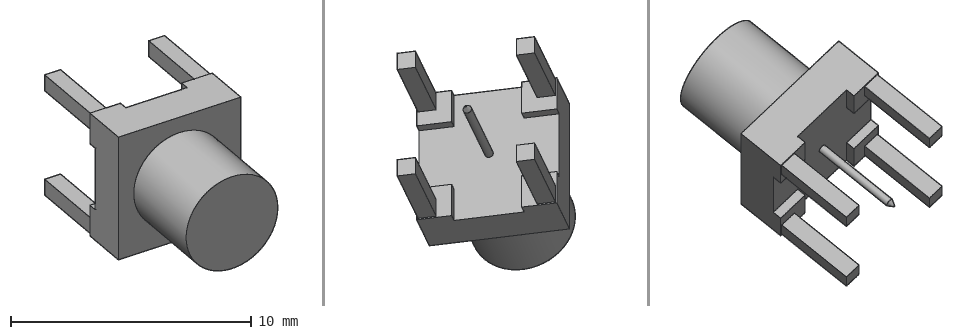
import cadquery as cq

total_length = 10.02
body_width = 6.0
body_length = 2.24
foot_height = 0.42
foot_width = body_width / 4
leg_length = 3.66
leg_width = 0.78
leg_margin = 0.06
barrel_diameter = 4.5
pin_diameter = 0.36
pin_tip_length = 0.26
pin_tip_diameter = 0.06

body_start = leg_length
plate_start = body_start + foot_height
body_end = body_start + body_length


def square_bar(start, end, width, y=0, z=0):
    """Square bar along X, centred on (y, z)."""
    length = end - start
    return cq.Workplane("XY").box(length, width, width).translate((start + length / 2, y, z))


def make_barrel():
    """Plain round barrel on the mating side of the body."""
    barrel = cq.Workplane("YZ", origin=(body_end, 0, 0))
    return barrel.circle(barrel_diameter / 2).extrude(total_length - body_end)


def make_pin():
    """Centre contact with a tapered tip, ending level with the legs."""
    pin_radius = pin_diameter / 2
    profile = [
        (0, 0),
        (0, pin_tip_diameter / 2),
        (pin_tip_length, pin_radius),
        (plate_start, pin_radius),
        (plate_start, 0),
    ]
    return cq.Workplane("XY").polyline(profile).close().revolve(360, (0, 0, 0), (1, 0, 0))


result = square_bar(plate_start, body_end, body_width)
result = result.union(make_barrel()).union(make_pin())

foot_offset = (body_width - foot_width) / 2
leg_offset = (body_width - leg_width) / 2 - leg_margin
for y_side in (-1, 1):
    for z_side in (-1, 1):
        foot = square_bar(body_start, plate_start, foot_width, y_side * foot_offset, z_side * foot_offset)
        leg = square_bar(0, body_start, leg_width, y_side * leg_offset, z_side * leg_offset)
        result = result.union(foot).union(leg)